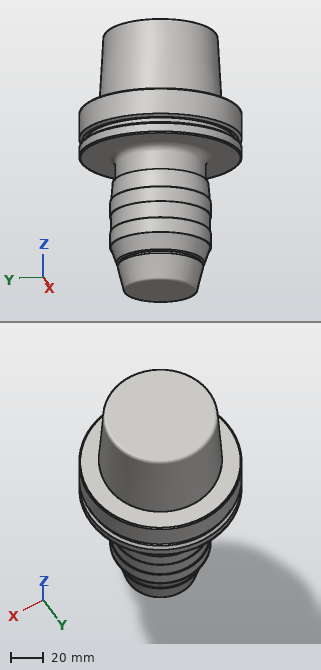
import cadquery as cq

TOTAL_HEIGHT = 165.0
FLANGE_TOP = 115.0
FLANGE_BOTTOM = 86.0
NECK_BOTTOM = 69.3
UPPER_BAND_TOP = 57.8
UPPER_BAND_BOTTOM = 48.0
LOWER_BAND_TOP = 37.8
LOWER_BAND_BOTTOM = 28.0
SLIT_TOP = 18.2
SLIT_BOTTOM = 17.3

HEAD_TOP_RADIUS = 35.1
HEAD_BASE_RADIUS = 38.0
HEAD_TOP_ROUND = 2.1
HEAD_FOOT_HEIGHT = 2.1
HEAD_FOOT_INSET = 0.5

FLANGE_RADIUS = 50.0
FLANGE_CHAMFER = 0.8
GROOVE_RADIUS = 46.0
GROOVE_TOP = 96.9
GROOVE_BOTTOM = 93.5
GROOVE_CHAMFER_WIDTH = 2.0
GROOVE_CHAMFER_HEIGHT = 1.5

NECK_RADIUS = 27.9
NECK_FILLET = 4.5
SHOULDER_RADIUS = 29.5
SHOULDER_BASE_RADIUS = 30.5
BAND_RADIUS = 31.0
BAND_BEVEL_HEIGHT = 0.5
WAIST_RADIUS = 30.5
SHANK_END_RADIUS = 27.0

SLIT_RADIUS = 24.0
TIP_TOP_RADIUS = 26.4
TIP_CHAMFER_WIDTH = 0.7
TIP_CHAMFER_HEIGHT = 1.5
TIP_BASE_RADIUS = 22.5
TIP_ROUND = 1.5


def revolve_profile(points):
    """Revolve a (radius, height) outline, listed top to bottom, about Z."""
    top_height = points[0][1]
    bottom_height = points[-1][1]
    outline = [(0, top_height), *points, (0, bottom_height)]
    return cq.Workplane("XZ").polyline(outline).close().revolve(360, (0, 0), (0, 1))


def make_head():
    head = revolve_profile([
        (HEAD_TOP_RADIUS, TOTAL_HEIGHT),
        (HEAD_BASE_RADIUS, FLANGE_TOP + HEAD_FOOT_HEIGHT),
        (HEAD_BASE_RADIUS - HEAD_FOOT_INSET, FLANGE_TOP),
    ])
    return head.faces(">Z").edges().fillet(HEAD_TOP_ROUND)


def make_flange():
    face_radius = FLANGE_RADIUS - FLANGE_CHAMFER
    lip_radius = FLANGE_RADIUS - GROOVE_CHAMFER_WIDTH
    return revolve_profile([
        (face_radius, FLANGE_TOP),
        (FLANGE_RADIUS, FLANGE_TOP - FLANGE_CHAMFER),
        (FLANGE_RADIUS, GROOVE_TOP + GROOVE_CHAMFER_HEIGHT),
        (lip_radius, GROOVE_TOP),
        (GROOVE_RADIUS, GROOVE_TOP),
        (GROOVE_RADIUS, GROOVE_BOTTOM),
        (lip_radius, GROOVE_BOTTOM),
        (FLANGE_RADIUS, GROOVE_BOTTOM - GROOVE_CHAMFER_HEIGHT),
        (FLANGE_RADIUS, FLANGE_BOTTOM + FLANGE_CHAMFER),
        (face_radius, FLANGE_BOTTOM),
    ])


def make_neck():
    """Cylinder flaring into the flange through a concave quarter round."""
    fillet_start = FLANGE_BOTTOM - NECK_FILLET
    return (
        cq.Workplane("XZ")
        .moveTo(0, NECK_BOTTOM)
        .lineTo(NECK_RADIUS, NECK_BOTTOM)
        .lineTo(NECK_RADIUS, fillet_start)
        .radiusArc((NECK_RADIUS + NECK_FILLET, FLANGE_BOTTOM), NECK_FILLET)
        .lineTo(0, FLANGE_BOTTOM)
        .close()
        .revolve(360, (0, 0), (0, 1))
    )


def make_shank():
    return revolve_profile([
        (SHOULDER_RADIUS, NECK_BOTTOM),
        (SHOULDER_BASE_RADIUS, UPPER_BAND_TOP),
        (BAND_RADIUS, UPPER_BAND_TOP - BAND_BEVEL_HEIGHT),
        (BAND_RADIUS, UPPER_BAND_BOTTOM),
        (WAIST_RADIUS, UPPER_BAND_BOTTOM),
        (WAIST_RADIUS, LOWER_BAND_TOP),
        (BAND_RADIUS, LOWER_BAND_TOP - BAND_BEVEL_HEIGHT),
        (BAND_RADIUS, LOWER_BAND_BOTTOM),
        (WAIST_RADIUS, LOWER_BAND_BOTTOM),
        (SHANK_END_RADIUS, SLIT_TOP),
        (SLIT_RADIUS, SLIT_TOP),
        (SLIT_RADIUS, SLIT_BOTTOM),
    ])


def make_tip():
    tip = revolve_profile([
        (TIP_TOP_RADIUS - TIP_CHAMFER_WIDTH, SLIT_BOTTOM),
        (TIP_TOP_RADIUS, SLIT_BOTTOM - TIP_CHAMFER_HEIGHT),
        (TIP_BASE_RADIUS, 0),
    ])
    return tip.faces("<Z").edges().fillet(TIP_ROUND)


result = make_head()
for section in (make_flange(), make_neck(), make_shank(), make_tip()):
    result = result.union(section)